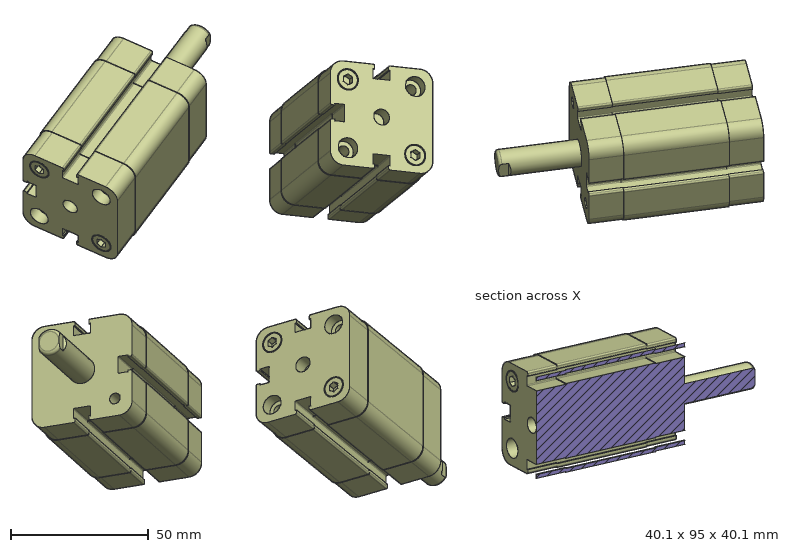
import cadquery as cq
import math

barrel_side = 40.1
cap_side = 39.6
barrel_length = 39.0
cap_length = 12.75
corner_radius = 5.0
body_length = barrel_length + 2 * cap_length

slot_mouth = 5.4
slot_width = 6.6
slot_depth = 5.5
slot_lip = 1.7
mouth_edge_radius = 0.6
slot_floor_radius = 0.3

bolt_spacing = 26.0
bolt_hole_diameter = 4.13
counterbore_diameter = 7.5
counterbore_depth = 4.75
screw_recess_diameter = 8.0
screw_head_diameter = 7.5
screw_gap_depth = 0.5
hex_flats = 3.5
hex_depth = 3.0
hex_turn = 30.0

centre_hole_diameter = 6.0
centre_hole_depth = 6.0

rod_diameter = 10.0
total_length = 95.0
rod_length = total_length - body_length
tip_fillet = 1.2
rod_flats = 8.0
flat_length = 3.6
flat_shoulder_length = 0.8

bolt_offset = bolt_spacing / 2
hole_corners = [(bolt_offset, bolt_offset), (-bolt_offset, -bolt_offset)]
screw_corners = [(-bolt_offset, bolt_offset), (bolt_offset, -bolt_offset)]


def section(y):
    """Workplane at depth y whose sketch axes are X and Z and whose extrusion runs toward +Y."""
    plane = cq.Plane(origin=(0, y, 0), xDir=(1, 0, 0), normal=(0, -1, 0))
    return cq.Workplane(plane)


def block(side, y, length):
    """Square block with rounded long edges, starting at depth y."""
    return section(y).rect(side, side).extrude(-length).edges("|Y").fillet(corner_radius)


def make_slot(side, y, length):
    """Cutter for the T-slot on the +Z face of a block with the given side."""
    half_mouth = slot_mouth / 2
    half_width = slot_width / 2
    outer = side / 2
    lip = outer - slot_lip
    floor = outer - slot_depth
    profile = (
        section(y)
        .moveTo(-half_mouth - mouth_edge_radius, outer)
        .radiusArc((-half_mouth, outer - mouth_edge_radius), mouth_edge_radius)
        .lineTo(-half_mouth, lip)
        .lineTo(-half_width, lip)
        .lineTo(-half_width, floor)
        .lineTo(half_width, floor)
        .lineTo(half_width, lip)
        .lineTo(half_mouth, lip)
        .lineTo(half_mouth, outer - mouth_edge_radius)
        .radiusArc((half_mouth + mouth_edge_radius, outer), mouth_edge_radius)
        .close()
    )
    slot = profile.extrude(-length)
    return slot.edges("|Y and <Z").fillet(slot_floor_radius)


def slotted_block(side, y, length):
    """Block with T-slots on the +Z, -X and -Z sides; the +X side stays plain."""
    body = block(side, y, length)
    slot = make_slot(side, y, length)
    for angle in (0, -90, 180):
        body = body.cut(slot.rotate((0, 0, 0), (0, 1, 0), angle))
    return body


def make_body():
    """Front and rear caps joined to the slightly larger barrel."""
    front_cap = slotted_block(cap_side, 0, cap_length)
    barrel = slotted_block(barrel_side, cap_length, barrel_length)
    rear_cap = slotted_block(cap_side, cap_length + barrel_length, cap_length)
    return front_cap.union(barrel).union(rear_cap)


def cut_bolt_holes(body):
    """Through holes counterbored from the front face."""
    holes = section(0).pushPoints(hole_corners).circle(bolt_hole_diameter / 2).extrude(-body_length)
    recesses = section(0).pushPoints(hole_corners).circle(counterbore_diameter / 2)
    return body.cut(holes).cut(recesses.extrude(-counterbore_depth))


def cut_screws(body):
    """Socket screws flush with the front face: a thin ring gap and a hexagon socket each."""
    ring = section(0).circle(screw_recess_diameter / 2).circle(screw_head_diameter / 2)
    gap = ring.extrude(-screw_gap_depth)
    hex_across_corners = hex_flats / math.cos(math.pi / 6)
    socket = section(0).polygon(6, hex_across_corners).extrude(-hex_depth)
    socket = socket.rotate((0, 0, 0), (0, 1, 0), hex_turn)
    for x, z in screw_corners:
        body = body.cut(gap.translate((x, 0, z)))
        body = body.cut(socket.translate((x, 0, z)))
    return body


def cut_centre_hole(body):
    """Blind round hole in the middle of the front face."""
    return body.cut(section(0).circle(centre_hole_diameter / 2).extrude(-centre_hole_depth))


def make_rod():
    """Round rod with a rounded tip and two flats facing -X and +X."""
    radius = rod_diameter / 2
    rod = section(body_length).circle(radius).extrude(-rod_length)
    rod = rod.faces(">Y").edges().fillet(tip_fillet)
    half_flats = rod_flats / 2
    flat_end = total_length - flat_length
    shoulder_end = flat_end - flat_shoulder_length
    for side in (-1, 1):
        outline = [
            (side * half_flats, total_length),
            (side * half_flats, flat_end),
            (side * radius, shoulder_end),
            (side * radius, total_length),
        ]
        cutter = cq.Workplane("XY").polyline(outline).close().extrude(radius, both=True)
        rod = rod.cut(cutter)
    return rod


body = make_body()
body = cut_bolt_holes(body)
body = cut_screws(body)
body = cut_centre_hole(body)
result = body.union(make_rod())